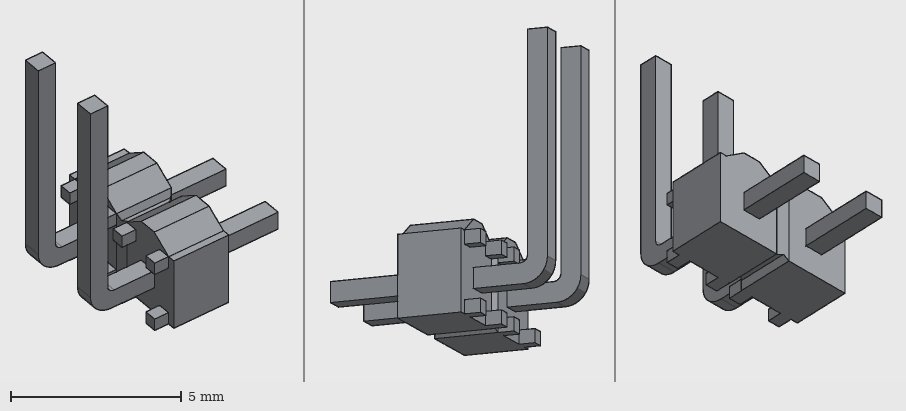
import cadquery as cq


PITCH = 2.54
WALL_HEIGHT = PITCH
HOUSING_DEPTH = 2.02
CROWN_HEIGHT = 3.02
INSET = 0.25
NECK_FLAT_HALF = 0.14
ROOF_HALF = PITCH / 2 - INSET

PEG_SIZE = 0.43
PEG_LENGTH = 0.51
PEG_SPACING = 1.59

PIN_SIZE = 0.64
PIN_BOTTOM = 0.92
PIN_TOP = 8.61
PIN_LENGTH = 6.92
PIN_REAR_REACH = 2.55
BEND_INNER_RADIUS = 0.23
BEND_OUTER_RADIUS = 0.77
PIN_REAR = HOUSING_DEPTH + PIN_REAR_REACH
PIN_FRONT = PIN_REAR - PIN_LENGTH

LEFT_X = -PITCH / 2
RIGHT_X = PITCH / 2


def extrude_housing_outline(outline):
    """Extrude a closed XZ outline through the housing depth, from the front face to the rear."""
    return cq.Workplane("XZ").polyline(outline).close().extrude(-HOUSING_DEPTH)


def make_position(x):
    """One housing position: a block under a flat-topped sloped roof."""
    side = 1 if x > 0 else -1
    inner = side * INSET
    outer = side * PITCH
    return extrude_housing_outline([
        (inner, 0),
        (outer, 0),
        (outer, WALL_HEIGHT),
        (x + side * ROOF_HALF, WALL_HEIGHT),
        (x + side * PIN_SIZE / 2, CROWN_HEIGHT),
        (x - side * PIN_SIZE / 2, CROWN_HEIGHT),
        (inner, WALL_HEIGHT),
    ])


def make_neck():
    """Waist joining the two positions, with a V notch down its front and its rear."""
    neck = extrude_housing_outline([
        (INSET, 0),
        (INSET, WALL_HEIGHT),
        (NECK_FLAT_HALF, WALL_HEIGHT - INSET),
        (-NECK_FLAT_HALF, WALL_HEIGHT - INSET),
        (-INSET, WALL_HEIGHT),
        (-INSET, 0),
        (-NECK_FLAT_HALF, INSET),
        (NECK_FLAT_HALF, INSET),
    ])
    for face_y, tip_y in [(0, INSET), (HOUSING_DEPTH, HOUSING_DEPTH - INSET)]:
        notch_outline = [(-INSET, face_y), (INSET, face_y), (0, tip_y)]
        notch = cq.Workplane("XY").polyline(notch_outline).close().extrude(WALL_HEIGHT)
        neck = neck.cut(notch)
    return neck


def make_pegs(x):
    """Four standoff pegs on the front face of one position."""
    columns = (x - PEG_SPACING / 2, x + PEG_SPACING / 2)
    rows = (PEG_SIZE / 2, WALL_HEIGHT - PEG_SIZE / 2)
    centres = [(column, row) for column in columns for row in rows]
    return cq.Workplane("XZ").pushPoints(centres).rect(PEG_SIZE, PEG_SIZE).extrude(PEG_LENGTH)


def make_pin(x):
    """Square pin that runs through the housing and bends upward in front of it."""
    upright_rear = PIN_FRONT + PIN_SIZE
    run_top = PIN_BOTTOM + PIN_SIZE
    outline = [
        (PIN_REAR, PIN_BOTTOM),
        (PIN_FRONT, PIN_BOTTOM),
        (PIN_FRONT, PIN_TOP),
        (upright_rear, PIN_TOP),
        (upright_rear, run_top),
        (PIN_REAR, run_top),
    ]
    pin = cq.Workplane("YZ", origin=(x - PIN_SIZE / 2, 0, 0)).polyline(outline).close().extrude(PIN_SIZE)
    outer_corner = cq.selectors.NearestToPointSelector((x, PIN_FRONT, PIN_BOTTOM))
    pin = pin.edges(outer_corner).fillet(BEND_OUTER_RADIUS)
    inner_corner = cq.selectors.NearestToPointSelector((x, upright_rear, run_top))
    return pin.edges(inner_corner).fillet(BEND_INNER_RADIUS)


def make_housing(fixed_pin, loose_pin):
    """Housing in one piece with the fixed pin, with a through hole that fits the loose pin."""
    housing = make_neck()
    for x in (LEFT_X, RIGHT_X):
        housing = housing.union(make_position(x)).union(make_pegs(x))
    return housing.cut(loose_pin).union(fixed_pin)


left_pin = make_pin(LEFT_X)
housing = make_housing(fixed_pin=make_pin(RIGHT_X), loose_pin=left_pin)

result = cq.Compound.makeCompound([housing.val(), left_pin.val()])